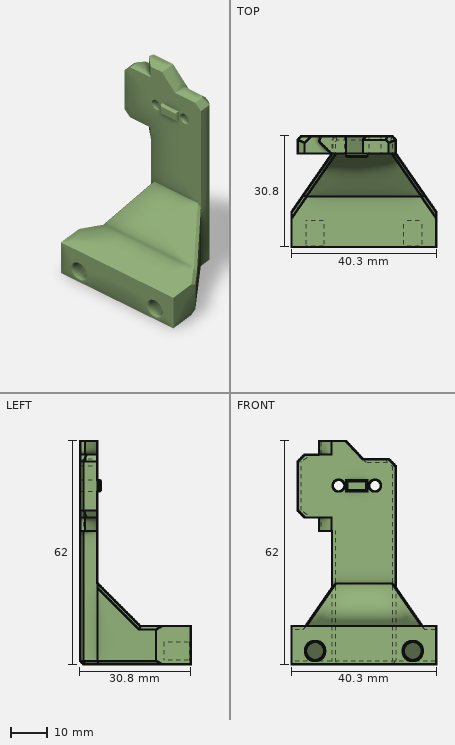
import cadquery as cq


foot_width = 40.3
depth = 30.8
height = 62.05

plate_thickness = 4.85
plate_front = depth - plate_thickness
stem_half_width = 8.9
stem_top = 57.0
bevel = 1.0
corner_chamfer = 2.0

head_left = -18.4
head_bottom = 40.75
head_top = 58.25

tab_bottom = 37.0
tab_front_left = -9.05
tab_back_left = tab_front_left - plate_thickness
tab_edge_chamfer = 2.0
tab_top_right = -5.0
tab_slope_foot = -0.3

foot_height = 10.7
foot_straight_depth = 9.7
gusset_rise = 11.85
gusset_top = foot_height + gusset_rise

mount_hole_diameter = 5.0
mount_hole_depth = 7.45
mount_hole_spacing = 27.1
mount_hole_height = 3.7
mount_hole_chamfer = 0.3

pad_center_x = -2.0
pad_center_z = 49.65
pad_width = 5.9
pad_height = 3.15
pad_projection = 1.0
pad_chamfer = 0.405
plate_hole_diameter = 3.2
plate_hole_spacing = 10.1

tolerance = 0.005


def edges_in_box(solid, x_range, y_range, z_range):
    """Select the edges whose middle lies inside the given box, padded by the tolerance."""
    low, high = zip(x_range, y_range, z_range)
    return solid.edges(
        cq.selectors.BoxSelector(
            tuple(value - tolerance for value in low),
            tuple(value + tolerance for value in high),
        )
    )


def plate_block(left, right, bottom, top):
    """Rectangular block as thick as the plate."""
    block = cq.Workplane("XY").box(right - left, plate_thickness, top - bottom, centered=False)
    return block.translate((left, plate_front, bottom))


def make_head():
    head = plate_block(head_left, tab_top_right, head_bottom, head_top)
    head = head.edges("<X and >Y").chamfer(bevel)
    for level in (head_bottom, head_top):
        corner_edges = edges_in_box(
            head, (head_left, head_left + bevel), (plate_front, depth), (level, level)
        )
        head = corner_edges.chamfer(corner_chamfer)
    return head


def make_stem():
    stem = plate_block(-stem_half_width, stem_half_width, 0, stem_top)
    stem = stem.edges("|Z and >Y").chamfer(bevel)
    corner_edges = edges_in_box(
        stem,
        (stem_half_width - bevel, stem_half_width),
        (plate_front, depth),
        (stem_top, stem_top),
    )
    return corner_edges.chamfer(corner_chamfer)


def make_tab():
    chamfer_leg = tab_edge_chamfer / 2**0.5
    plan = [
        (tab_front_left, plate_front),
        (tab_back_left + chamfer_leg, depth - chamfer_leg),
        (tab_back_left + tab_edge_chamfer, depth),
        (tab_slope_foot, depth),
        (tab_slope_foot, plate_front),
    ]
    tab = cq.Workplane("XY", origin=(0, 0, tab_bottom))
    tab = tab.polyline(plan).close().extrude(height - tab_bottom)
    above_slope = [(tab_top_right, height), (tab_slope_foot, stem_top), (tab_slope_foot, height)]
    slope_cut = cq.Workplane("XZ").polyline(above_slope).close().extrude(-depth)
    return tab.cut(slope_cut)


def make_plate():
    plate = make_stem().union(make_tab())
    top_back_edge = edges_in_box(
        plate, (tab_slope_foot, stem_half_width), (depth, depth), (stem_top, stem_top)
    )
    plate = top_back_edge.chamfer(bevel)
    return plate.union(make_head())


def make_foot():
    half_width = foot_width / 2
    plan = [
        (-half_width, 0),
        (half_width, 0),
        (half_width, foot_straight_depth),
        (stem_half_width, plate_front),
        (-stem_half_width, plate_front),
        (-half_width, foot_straight_depth),
    ]
    side = [
        (0, 0),
        (0, foot_height),
        (plate_front - gusset_rise, foot_height),
        (plate_front, gusset_top),
        (plate_front, 0),
    ]
    flared = cq.Workplane("XY").polyline(plan).close().extrude(gusset_top)
    stepped = cq.Workplane("YZ").polyline(side).close().extrude(half_width, both=True)
    foot = flared.intersect(stepped)
    for left, right in ((-half_width, -stem_half_width), (stem_half_width, half_width)):
        upper_edges = edges_in_box(
            foot, (left, right), (foot_straight_depth, plate_front - bevel), (foot_height, gusset_top)
        )
        foot = upper_edges.chamfer(bevel)
    return foot


def bevel_underside(body):
    """Bevel the bottom edges behind the straight sides of the foot."""
    half_width = foot_width / 2
    edges = edges_in_box(body, (-half_width, half_width), (foot_straight_depth, depth), (0, 0))
    return edges.chamfer(bevel)


def make_pad():
    pad = cq.Workplane("XZ", origin=(pad_center_x, plate_front, pad_center_z))
    pad = pad.rect(pad_width, pad_height).extrude(pad_projection)
    return pad.faces("<Y").chamfer(pad_chamfer)


def make_plate_holes():
    holes = cq.Workplane("XZ", origin=(pad_center_x, plate_front, pad_center_z))
    return holes.rarray(plate_hole_spacing, 0.6, 2, 1).circle(plate_hole_diameter / 2).extrude(-plate_thickness)


def make_mount_holes():
    radius = mount_hole_diameter / 2
    mouth_radius = radius + mount_hole_chamfer
    half_section = [
        (0, 0),
        (mouth_radius, 0),
        (radius, mount_hole_chamfer),
        (radius, mount_hole_depth),
        (0, mount_hole_depth),
    ]
    hole = cq.Workplane("XY").polyline(half_section).close().revolve(360, (0, 0), (0, 1))
    left = hole.translate((-mount_hole_spacing / 2, 0, mount_hole_height))
    right = hole.translate((mount_hole_spacing / 2, 0, mount_hole_height))
    return left.union(right)


bracket = bevel_underside(make_plate().union(make_foot()))
result = bracket.union(make_pad()).cut(make_plate_holes()).cut(make_mount_holes())